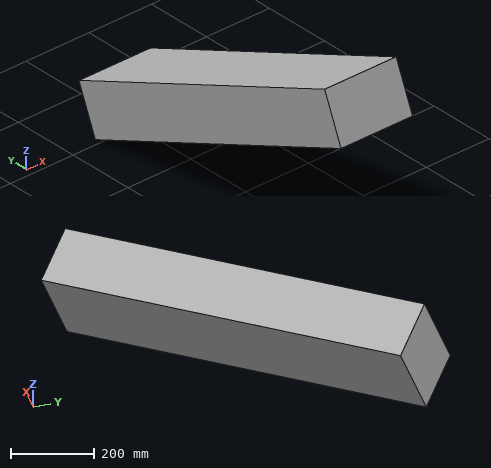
import cadquery as cq
import math

overall_depth = 956.0
width = 228.0
thickness = 152.0
tilt_degrees = 23.25

tilt = math.radians(tilt_degrees)
length = (overall_depth - thickness * math.sin(tilt)) / math.cos(tilt)

block = cq.Workplane("XY").box(width, length, thickness)
result = block.rotate((0, 0, 0), (1, 0, 0), -tilt_degrees)